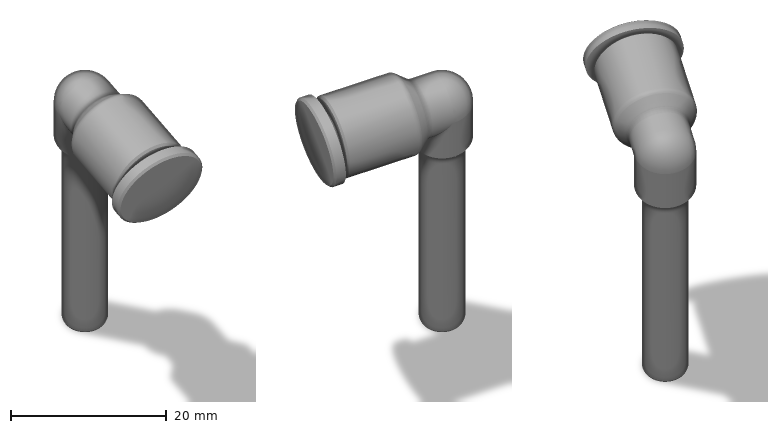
import cadquery as cq
import math

total_height = 47.7
total_length = 21.95

elbow_radius = 8.0 / 2
sleeve_length = 6.7

tube_radius = 6.0 / 2
tube_tip_bevel_height = 0.3
tube_tip_bevel_depth = 0.1

socket_radius = 11.2 / 2
socket_end = 15.6
socket_chamfer = 0.3
cone_end = 5.4
cone_angle = 40.0
cone_blend_radius = 1.0

neck_radius = 7.5 / 2

ring_width = 13.0
ring_height = 11.0
ring_thickness = 1.6
ring_chamfer = 0.3

tube_end = total_height - socket_radius
ring_end = total_length - elbow_radius
ring_start = ring_end - ring_thickness


def make_elbow():
    """Ball corner with the upright sleeve below it."""
    ball = cq.Workplane("XY").sphere(elbow_radius)
    sleeve = cq.Workplane("XY").circle(elbow_radius).extrude(-sleeve_length)
    return ball.union(sleeve)


def make_tube():
    """Plain tube plug, bevelled at its lower tip."""
    tip_radius = tube_radius - tube_tip_bevel_depth
    profile = (
        cq.Workplane("XZ")
        .moveTo(0, 0)
        .lineTo(tube_radius, 0)
        .lineTo(tube_radius, tube_tip_bevel_height - tube_end)
        .lineTo(tip_radius, -tube_end)
        .lineTo(0, -tube_end)
        .close()
    )
    return profile.revolve(360, (0, 0, 0), (0, 1, 0))


def make_socket():
    """Round arm that widens through a blended cone into the socket."""
    angle = math.radians(cone_angle)
    cone_start = cone_end - (socket_radius - elbow_radius) / math.tan(angle)

    tangent = cone_blend_radius * math.tan(angle / 2)
    tangent_x = tangent * math.cos(angle)
    tangent_r = tangent * math.sin(angle)

    corner_gap = cone_blend_radius * (1 / math.cos(angle / 2) - 1)
    middle_x = corner_gap * math.sin(angle / 2)
    middle_r = corner_gap * math.cos(angle / 2)

    profile = (
        cq.Workplane("XZ")
        .moveTo(0, 0)
        .lineTo(0, elbow_radius)
        .lineTo(cone_start - tangent, elbow_radius)
        .threePointArc(
            (cone_start - middle_x, elbow_radius + middle_r),
            (cone_start + tangent_x, elbow_radius + tangent_r),
        )
        .lineTo(cone_end - tangent_x, socket_radius - tangent_r)
        .threePointArc(
            (cone_end + middle_x, socket_radius - middle_r),
            (cone_end + tangent, socket_radius),
        )
        .lineTo(socket_end - socket_chamfer, socket_radius)
        .lineTo(socket_end, socket_radius - socket_chamfer)
        .lineTo(socket_end, 0)
        .close()
    )
    return profile.revolve(360, (0, 0, 0), (1, 0, 0))


def make_release_ring():
    """Oval push ring carried on a round neck at the socket mouth."""
    neck = (
        cq.Workplane("YZ")
        .workplane(offset=socket_end)
        .circle(neck_radius)
        .extrude(ring_start - socket_end)
    )
    ring = (
        cq.Workplane("YZ")
        .workplane(offset=ring_start)
        .ellipse(ring_width / 2, ring_height / 2)
        .extrude(ring_thickness)
        .faces(">X")
        .chamfer(ring_chamfer)
    )
    return neck.union(ring)


result = make_elbow().union(make_tube()).union(make_socket()).union(make_release_ring())